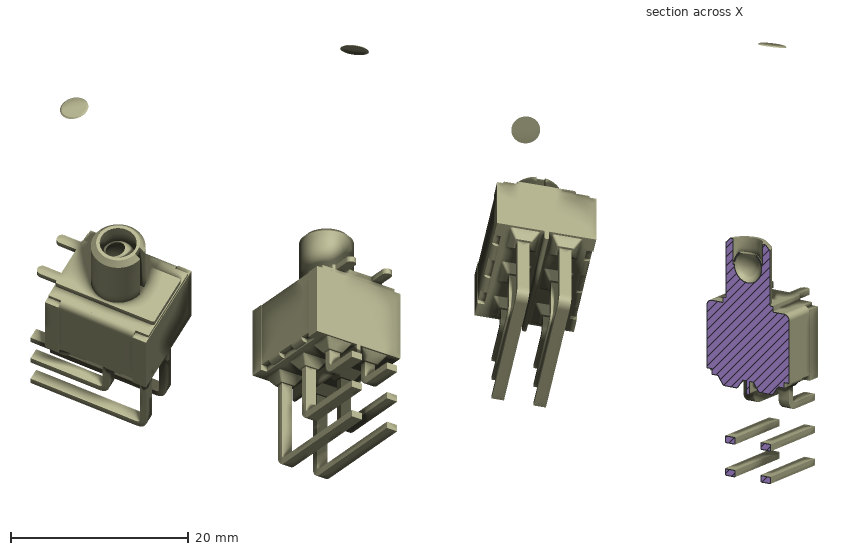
import cadquery as cq
import math


overall_length = 15.9
overall_height = 50.3

case_length = 12.8
case_width = 11.4
case_height = 8.75
core_length = 12.7
core_width = 9.85
cover_length = 9.4
cover_width = 11.3
cover_edge_radius = 0.75
cover_bottom = 0.65
post_height = 8.35
tab_length = 2.0
tab_center = 2.2
tab_bottom = 0.15
tab_overlap = 0.5

plate_length = 12.45
plate_width = 6.85
plate_thickness = 0.65
plate_corner_radius = 0.25
prong_width = 1.2
prong_center = 2.45
prong_tip = -8.95

bushing_diameter = 6.2
bushing_height = 7.75
bushing_chamfer = 0.6
keyway_width = 1.05
keyway_floor = 2.4

bore_diameter = 4.2
ball_depth = 3.05
lever_tilt = 12.6
socket_diameter = 2.25
ball_wall = 0.15

disc_diameter = 3.25
disc_face_diameter = 2.9
disc_thickness = 0.125
disc_top = 38.75

blade_thickness = 0.5
blade_height = 1.55
blade_edge_radius = 0.225

terminal_width = 1.4
terminal_thickness = 0.8
terminal_pitch_x = 4.75
terminal_pitch_y = 4.85
terminal_end = case_length / 2 - overall_length
terminal_bottom = disc_top - overall_height
terminal_pitch_z = 3.8
bend_inner_radius = 0.45
bend_outer_radius = bend_inner_radius + terminal_thickness
seal_height = 1.05
seal_top_margin = 1.0
seal_corner_radius = 0.2
seal_bottom_margin = 0.25

bushing_top = case_height + bushing_height
ball_z = bushing_top - ball_depth
tilt = math.radians(lever_tilt)
lever_axis = cq.Vector(-math.sin(tilt), 0, math.cos(tilt))


def block(length, width, bottom, top):
    """Box centered on the Z axis between two heights."""
    return cq.Workplane("XY").workplane(offset=bottom).rect(length, width).extrude(top - bottom)


def make_case():
    """Core, end walls that form the corner posts, and side covers with a rounded top edge."""
    core = block(core_length, core_width, 0, case_height)
    walls = block(case_length, case_width, 0, post_height)
    walls = walls.cut(block(cover_length, case_width, 0, post_height))
    covers = block(cover_length, cover_width, cover_bottom, case_height)
    covers = covers.edges("|X and >Z").fillet(cover_edge_radius)
    return core.union(walls).union(covers)


def make_cover_tabs():
    """Tabs that curl from the lower edge of each cover toward the core."""
    tabs = block(tab_length, cover_width, tab_bottom, cover_bottom + tab_overlap)
    tabs = tabs.edges("|X and <Z").fillet(cover_bottom - tab_bottom)
    return tabs.translate((-tab_center, 0, 0)).union(tabs.translate((tab_center, 0, 0)))


def make_plate():
    """Frame plate with two round-ended prongs on the -X side."""
    top = case_height + plate_thickness
    plate = block(plate_length, plate_width, case_height, top)
    plate = plate.edges("|Z").fillet(plate_corner_radius)
    root = -plate_length / 2 + prong_width
    for side in (-1, 1):
        prong = (
            cq.Workplane("XY", origin=((prong_tip + root) / 2, side * prong_center, case_height))
            .slot2D(root - prong_tip, prong_width)
            .extrude(plate_thickness)
        )
        plate = plate.union(prong)
    return plate


def make_bushing():
    """Bushing with a chamfered top and a keyway along its +X side."""
    bushing = (
        cq.Workplane("XY", origin=(0, 0, case_height))
        .circle(bushing_diameter / 2)
        .extrude(bushing_height)
        .faces(">Z")
        .chamfer(bushing_chamfer)
    )
    keyway = block(bushing_diameter, keyway_width, case_height, bushing_top)
    return bushing.cut(keyway.translate((keyway_floor + bushing_diameter / 2, 0, 0)))


def make_bore():
    """Bushing bore that ends on the upper half of the lever ball."""
    radius = bore_diameter / 2
    arc_middle = radius * math.sqrt(0.5)
    return (
        cq.Workplane("XZ")
        .moveTo(0, ball_z + radius)
        .threePointArc((arc_middle, ball_z + arc_middle), (radius, ball_z))
        .lineTo(radius, bushing_top)
        .lineTo(0, bushing_top)
        .close()
        .revolve(360, (0, 0, 0), (0, 1, 0))
    )


def make_socket():
    """Hollow of the lever ball and the round opening into it along the tilted lever axis."""
    center = cq.Vector(0, 0, ball_z)
    hollow = cq.Workplane(cq.Plane(center, normal=lever_axis)).sphere(bore_diameter / 2 - ball_wall)
    opening = cq.Solid.makeCylinder(socket_diameter / 2, bore_diameter / 2, center, lever_axis)
    return hollow.union(cq.Workplane(opening))


def make_terminal(x, y, bottom):
    """L-shaped terminal that drops from the case and bends toward -X."""
    outer = x + terminal_thickness / 2
    inner = x - terminal_thickness / 2
    profile = (
        cq.Workplane("XZ", origin=(0, y + terminal_width / 2, 0))
        .moveTo(outer, 0)
        .lineTo(outer, bottom + bend_outer_radius)
        .radiusArc((outer - bend_outer_radius, bottom), bend_outer_radius)
        .lineTo(terminal_end, bottom)
        .lineTo(terminal_end, bottom + terminal_thickness)
        .lineTo(inner - bend_inner_radius, bottom + terminal_thickness)
        .radiusArc((inner, bottom + terminal_thickness + bend_inner_radius), -bend_inner_radius)
        .lineTo(inner, 0)
        .close()
    )
    return profile.extrude(terminal_width)


def make_seal(x, y):
    """Tapered seal around a terminal where it leaves the case."""
    return (
        cq.Workplane("XY", origin=(x, y, 0))
        .rect(terminal_thickness + 2 * seal_top_margin, terminal_width + 2 * seal_top_margin)
        .workplane(offset=-seal_height)
        .rect(terminal_thickness + 2 * seal_bottom_margin, terminal_width + 2 * seal_bottom_margin)
        .loft()
        .edges("not (|X or |Y)")
        .fillet(seal_corner_radius)
    )


def make_blade():
    """Center blade under the case, with rounded lower edges."""
    blade = block(case_length, blade_thickness, -blade_height, 0)
    return blade.edges("|X and <Z").fillet(blade_edge_radius)


def make_switch():
    switch = make_case().union(make_cover_tabs()).union(make_plate()).union(make_bushing())
    switch = switch.cut(make_bore()).cut(make_socket())
    switch = switch.union(make_blade())
    for column in (-1, 0, 1):
        x = column * terminal_pitch_x
        bottom = terminal_bottom + (1 - column) * terminal_pitch_z
        for y in (-terminal_pitch_y / 2, terminal_pitch_y / 2):
            switch = switch.union(make_terminal(x, y, bottom)).union(make_seal(x, y))
    return switch


def make_lever_disc():
    """Thin disc with a beveled rim, square to the tilted lever axis."""
    face_z = disc_top - disc_face_diameter / 2 * math.sin(tilt)
    face_distance = (face_z - ball_z) / math.cos(tilt)
    base = cq.Vector(0, 0, ball_z) + lever_axis * (face_distance - disc_thickness)
    disc = cq.Solid.makeCone(disc_diameter / 2, disc_face_diameter / 2, disc_thickness, base, lever_axis)
    return cq.Workplane(disc)


switch = make_switch()
lever_disc = make_lever_disc()
result = cq.Compound.makeCompound([switch.val(), lever_disc.val()])